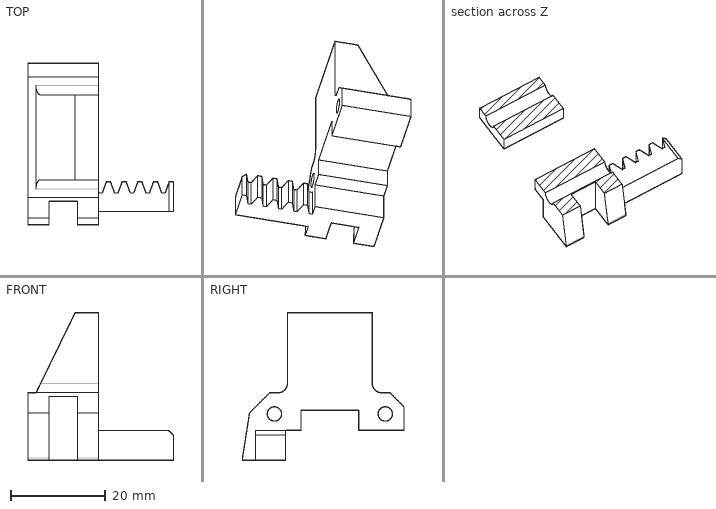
import cadquery as cq
import math

body_width = 15.0
body_depth = 34.3
body_top = 14.35
rear_chamfer = 3.0
bridge_bottom = 6.35
channel_top = 10.6
channel_front = 12.45
channel_width = 12.2
leg_back = 9.15
leg_toe_height = 0.5
leg_lean = 1.5
leg_shoulder_height = 10.05

slot_width = 6.0
slot_depth = 5.0

hole_diameter = 3.0
hole_height = 9.85
front_hole_y = 6.8
hole_spacing = 23.5

wedge_top = 31.35
wedge_top_thickness = 5.0
wedge_base_thickness = 13.3
wedge_width = 18.0
wedge_front = 9.55
wedge_fillet = 2.0

rack_end = 30.86
rack_front = 2.8
rack_height = bridge_bottom
rack_end_chamfer = 1.0
rack_module = 1.06
pressure_angle = 20.0
gap_count = 5
tooth_pitch = math.pi * rack_module
tooth_height = 2.25 * rack_module
last_tooth_x = 30.38


def make_body():
    """Bridge with a long leaning front leg and a chamfered rear leg."""
    shoulder_run = body_top - leg_shoulder_height
    channel_back = channel_front + channel_width
    section = [
        (0, 0),
        (0, leg_toe_height),
        (leg_lean, leg_shoulder_height),
        (leg_lean + shoulder_run, body_top),
        (body_depth - rear_chamfer, body_top),
        (body_depth, body_top - rear_chamfer),
        (body_depth, bridge_bottom),
        (channel_back, bridge_bottom),
        (channel_back, channel_top),
        (channel_front, channel_top),
        (channel_front, bridge_bottom),
        (leg_back, bridge_bottom),
        (leg_back, 0),
    ]
    return cq.Workplane("YZ").polyline(section).close().extrude(body_width)


def make_leg_slot():
    """Vertical slot, open at the front and bottom, centred on the body width."""
    slot_start = (body_width - slot_width) / 2
    slot = cq.Workplane("XY").box(slot_width, slot_depth, body_top, centered=False)
    return slot.translate((slot_start, 0, 0))


def make_cross_holes():
    """Two parallel through holes at the same height."""
    centers = [(front_hole_y, hole_height), (front_hole_y + hole_spacing, hole_height)]
    return cq.Workplane("YZ").pushPoints(centers).circle(hole_diameter / 2).extrude(body_width)


def make_wedge():
    """Wall with flared foot fillets at both ends, cut to a sloping face."""
    wedge_back = wedge_front + wedge_width
    fillet_top = body_top + wedge_fillet
    wall = (
        cq.Workplane("YZ")
        .moveTo(wedge_front - wedge_fillet, body_top)
        .radiusArc((wedge_front, fillet_top), -wedge_fillet)
        .lineTo(wedge_front, wedge_top)
        .lineTo(wedge_back, wedge_top)
        .lineTo(wedge_back, fillet_top)
        .radiusArc((wedge_back + wedge_fillet, body_top), -wedge_fillet)
        .close()
        .extrude(body_width)
    )
    side = [
        (body_width - wedge_base_thickness, body_top),
        (body_width - wedge_top_thickness, wedge_top),
        (body_width, wedge_top),
        (body_width, body_top),
    ]
    slope = cq.Workplane("XZ").polyline(side).close().extrude(-body_depth)
    return wall.intersect(slope)


def make_tooth_gap(center_x):
    """Trapezoidal space between two neighbouring teeth."""
    pitch_line_half = tooth_pitch / 4
    flank_slope = math.tan(math.radians(pressure_angle))
    mouth_half = pitch_line_half + rack_module * flank_slope
    root_half = mouth_half - tooth_height * flank_slope
    root_y = leg_back - tooth_height
    outline = [
        (center_x - mouth_half, leg_back),
        (center_x - root_half, root_y),
        (center_x + root_half, root_y),
        (center_x + mouth_half, leg_back),
    ]
    return cq.Workplane("XY").polyline(outline).close().extrude(rack_height)


def make_rack():
    """Bar with teeth on its rear side and a chamfered upper end."""
    rack = (
        cq.Workplane("XY")
        .box(rack_end - body_width, leg_back - rack_front, rack_height, centered=False)
        .translate((body_width, rack_front, 0))
        .faces(">X")
        .edges(">Z")
        .chamfer(rack_end_chamfer)
    )
    for gap in range(gap_count):
        rack = rack.cut(make_tooth_gap(last_tooth_x - (gap + 0.5) * tooth_pitch))
    return rack


body = make_body().cut(make_leg_slot()).cut(make_cross_holes())
result = body.union(make_wedge()).union(make_rack())